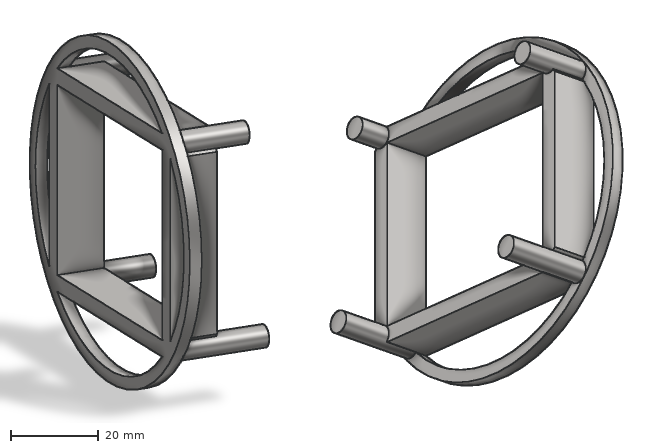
import cadquery as cq

ring_diameter = 82.0
ring_width = 3.0
ring_thickness = 3.0
ring_bore = ring_diameter - 2 * ring_width

window_width = 53.6
window_height = 45.75
side_bar_width = 4.2
cross_bar_width = 4.0
frame_width = window_width + 2 * side_bar_width
frame_height = window_height + 2 * cross_bar_width

wall_end_y = 12.0

pin_diameter = 5.5
upper_pin_end_y = 20.0
lower_pin_end_y = 25.0
pin_x = (window_width + side_bar_width) / 2
pin_z = (window_height + cross_bar_width) / 2


def block(width, height, depth):
    """Centred block running from Y = 0 to the given depth."""
    return cq.Workplane("XZ").rect(width, height).extrude(-depth)


def disc(diameter, depth, x=0, z=0):
    """Cylinder along Y, starting at Y = 0."""
    return cq.Workplane("XZ").center(x, z).circle(diameter / 2).extrude(-depth)


ring = disc(ring_diameter, ring_thickness).cut(disc(ring_bore, ring_thickness))

walls = block(frame_width, frame_height, wall_end_y)
walls = walls.intersect(disc(ring_bore, wall_end_y))

result = ring.union(walls)

for side in (-1, 1):
    upper_pin = disc(pin_diameter, upper_pin_end_y, side * pin_x, pin_z)
    lower_pin = disc(pin_diameter, lower_pin_end_y, side * pin_x, -pin_z)
    result = result.union(upper_pin).union(lower_pin)

result = result.cut(block(window_width, window_height, wall_end_y))